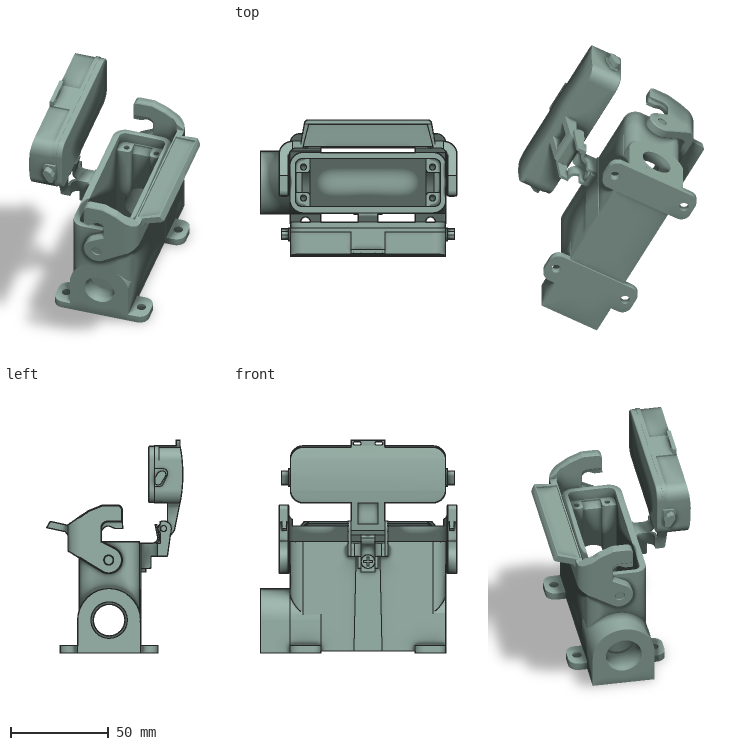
import cadquery as cq
import math

HOUSING_HALF_X = 39.8
HOUSING_TOP_Z = 57.0
HOUSING_BOTTOM_Z = 1.0
HOUSING_REAR_Y = 15.3
HOUSING_FRONT_TOP_Y = -15.4
HOUSING_FRONT_BOTTOM_Y = -15.9
HOUSING_CORNER_R = 6.5

CONDUIT_END_X = -55.0
CONDUIT_INNER_X = -24.0
CONDUIT_R = 16.1
CONDUIT_INNER_R = 16.0
CONDUIT_AXIS_Z = 16.8
CONDUIT_BORE_D = 18.6
WALL_BORE_D = 16.0

FOOT_WIDTH = HOUSING_HALF_X + CONDUIT_INNER_X
FOOT_CENTER_X = HOUSING_HALF_X - FOOT_WIDTH / 2
FOOT_HALF_Y = 25.0
FOOT_HEIGHT = 3.9
FOOT_CORNER_R = 5.0
FOOT_HOLE_D = 4.8
FOOT_HOLE_Y = 20.0

MOUTH_HALF_X = 37.1
CAVITY_HALF_Y = 12.2
MOUTH_CORNER_R = 3.3
PAD_Z = 51.1
CAVITY_HALF_X = 29.6
CAVITY_FLOOR_Z = 3.3
PAD_HOLE_X = 32.9
PAD_HOLE_Y = 7.9
PAD_HOLE_D = 3.0
PAD_HOLE_DEPTH = 6.5
END_SLOT_HALF_X = 36.6
END_SLOT_WIDTH = 10.0
END_SLOT_LEDGE_TOP_Z = 50.0
END_SLOT_LEDGE_LOW_Z = 47.3
END_WELL_HALF_X = 33.7
END_SLOT_CORNER_R = 2.0

STRIP_FRONT_Y = -16.3
STRIP_TOP_Z = 56.2
STRIP_BEND_Z = 49.3
STRIP_BOTTOM_HALF_X = 7.2
STRIP_TOP_HALF_X = 6.1

HINGE_Y = -27.8
HINGE_Z = 63.6
HINGE_PIN_D = 3.0
HINGE_ARM_R = 3.9
HINGE_ARM_INNER_X = 8.6
HINGE_ARM_OUTER_X = 10.1
HINGE_ARM_BACK_Y = -26.1
HINGE_ARM_FRONT_Y = -29.8
BRACKET_BOTTOM_Z = 49.3
BRACKET_CORNER_R = 0.9
WEB_THICKNESS = 1.3
CLIP_INNER_X = 3.5
CLIP_OUTER_X = 5.0
CLIP_FRONT_Y = -21.4
CLIP_BOTTOM_Z = 43.1
TONGUE_FRONT_Y = -18.7
TONGUE_BOTTOM_Z = 41.3
SCREW_D = 7.0
SCREW_Z = 46.7
SCREW_HEAD_HEIGHT = 0.9
SCREW_SLOT_WIDTH = 0.9
SCREW_SLOT_DEPTH = 0.4

LEVER_OUTER_X = 45.5
LEVER_INNER_X = 40.3
LEVER_REAR_Y = 21.1
LEVER_WALL_INNER_Y = 17.7
LEVER_OUTER_BEND_R = 7.1
LEVER_INNER_BEND_R = 4.0
LEVER_WALL_TOP_Z = 65.0
LEVER_WALL_HALF_X = 38.6
LEVER_EDGE_CHAMFER = 0.4
TRIM_X = 54.3
TRIM_LOW_Z = 32.6
TRIM_HIGH_Z = 86.9
PIVOT_Y = 0.2
PIVOT_Z = 47.5
PIVOT_HOLE_D = 5.1
PIVOT_PIN_D = 4.6
PIVOT_PIN_RECESS = 0.5
LEVER_EYE_R = 7.0
HOOK_INNER_X = 41.6
HOOK_WIDTH = 2.2
HANDLE_ROOT_HALF_X = 34.1
HANDLE_TIP_HALF_X = 32.2
HANDLE_ROOT_Y = 19.8
HANDLE_TIP_Y = 32.0
HANDLE_CORNER_R = 2.0
PANEL_FRONT_Y = 18.4
PANEL_FRONT_HALF_X = 33.1
PANEL_REAR_Y = 29.6
PANEL_REAR_HALF_X = 30.3
PANEL_FRONT_Z = 63.7
PANEL_REAR_Z = 66.2

COVER_HALF_X = 39.7
COVER_BOTTOM_Z = 76.6
COVER_TOP_Z = 105.9
COVER_CORNER_R = 6.5
COVER_BACK_Y = -20.2
COVER_RIM_Y = -23.3
COVER_STEP_Y = -25.3
COVER_RIM_INSET = 0.2
COVER_TOP_RECESS = 0.9
COVER_EDGE_Y = -36.2
COVER_FACE_Y = -37.7
RIM_EDGE_R = 0.7
COVER_OVERLAP = 1.1
STRAP_HALF_X = 8.6
STRAP_BACK_Y = -29.7
KNUCKLE_R = 2.9
WINDOW_WIDTH = 10.0
WINDOW_BOTTOM_Z = 65.9
WINDOW_FLOOR_Y = -32.4
TAB_TOP_Z = 108.7
TAB_BACK_Y = -34.1
TAB_FRONT_Y = COVER_EDGE_Y
TAB_SLOT_X = 5.5
TAB_SLOT_Z = 107.0
TAB_SLOT_LENGTH = 3.9
TAB_SLOT_HEIGHT = 1.6
PEG_END_X = 44.2
PEG_BOSS_X = 40.6


def box(x0, x1, y0, y1, z0, z1):
    """Axis-aligned box between two corners."""
    return cq.Workplane("XY").box(x1 - x0, y1 - y0, z1 - z0, centered=False).translate((x0, y0, z0))


def extrude_x(profile, x0, x1):
    """Extrude a closed Y-Z profile from x0 to x1."""
    return profile.extrude(x1 - x0).translate((x0, 0, 0))


def yz_polygon(points):
    return cq.Workplane("YZ").polyline(points).close()


def rod_x(y, z, diameter, x0, x1):
    """Round bar along X."""
    return extrude_x(cq.Workplane("YZ").center(y, z).circle(diameter / 2), x0, x1)


def mirror_x(shape):
    return shape.mirror("YZ")


def tangent_point(cy, cz, radius, y, z, side):
    """Point where a line from (y, z) touches a circle; side is +1 or -1."""
    distance = math.hypot(y - cy, z - cz)
    angle = math.atan2(z - cz, y - cy) + side * math.acos(radius / distance)
    return (cy + radius * math.cos(angle), cz + radius * math.sin(angle))


def arch_block(x0, x1, radius):
    """Block with flat sides and a half-round top, on the conduit axis."""
    profile = (
        cq.Workplane("YZ")
        .moveTo(-radius, 0)
        .lineTo(radius, 0)
        .lineTo(radius, CONDUIT_AXIS_Z)
        .threePointArc((0, CONDUIT_AXIS_Z + radius), (-radius, CONDUIT_AXIS_Z))
        .close()
    )
    return extrude_x(profile, x0, x1)


def leaning_block(half_x):
    """Block with an upright rear wall and a front wall that leans in towards the top."""
    profile = yz_polygon([
        (HOUSING_FRONT_BOTTOM_Y, HOUSING_BOTTOM_Z),
        (HOUSING_REAR_Y, HOUSING_BOTTOM_Z),
        (HOUSING_REAR_Y, HOUSING_TOP_Z),
        (HOUSING_FRONT_TOP_Y, HOUSING_TOP_Z),
    ])
    return extrude_x(profile, -half_x, half_x)


def housing_shell():
    """Box with rounded upright corners, squared off low down at the +X end."""
    rounded_box = box(
        -HOUSING_HALF_X,
        HOUSING_HALF_X,
        HOUSING_FRONT_TOP_Y,
        HOUSING_REAR_Y,
        HOUSING_BOTTOM_Z,
        HOUSING_TOP_Z,
    ).edges("|Z").fillet(HOUSING_CORNER_R)
    flat_walls = leaning_block(HOUSING_HALF_X - HOUSING_CORNER_R)
    end_arch = arch_block(HOUSING_HALF_X - HOUSING_CORNER_R, HOUSING_HALF_X, CONDUIT_R)
    square_end = end_arch.intersect(leaning_block(HOUSING_HALF_X))
    return rounded_box.union(flat_walls).union(square_end)


def foot(side):
    plate = (
        cq.Workplane("XY")
        .rect(FOOT_WIDTH, 2 * FOOT_HALF_Y)
        .extrude(FOOT_HEIGHT)
        .edges("|Z")
        .fillet(FOOT_CORNER_R)
        .faces(">Z")
        .workplane()
        .pushPoints([(0, FOOT_HOLE_Y), (0, -FOOT_HOLE_Y)])
        .hole(FOOT_HOLE_D)
    )
    return plate.translate((side * FOOT_CENTER_X, 0, 0))


def front_strip():
    """Raised strip on the front wall, wider towards the bottom."""
    points = [
        (-STRIP_BOTTOM_HALF_X, HOUSING_BOTTOM_Z),
        (STRIP_BOTTOM_HALF_X, HOUSING_BOTTOM_Z),
        (STRIP_TOP_HALF_X, STRIP_BEND_Z),
        (STRIP_TOP_HALF_X, STRIP_TOP_Z),
        (-STRIP_TOP_HALF_X, STRIP_TOP_Z),
        (-STRIP_TOP_HALF_X, STRIP_BEND_Z),
    ]
    depth = -STRIP_FRONT_Y - CAVITY_HALF_Y
    return cq.Workplane("XZ").polyline(points).close().extrude(depth).translate((0, -CAVITY_HALF_Y, 0))


def housing_cavity():
    """Open mouth, deep cavity and the end wells between the screw pads, down to the bore."""
    mouth = box(
        -MOUTH_HALF_X, MOUTH_HALF_X, -CAVITY_HALF_Y, CAVITY_HALF_Y, PAD_Z, HOUSING_TOP_Z
    ).edges("|Z").fillet(MOUTH_CORNER_R)
    cavity = box(
        -CAVITY_HALF_X, CAVITY_HALF_X, -CAVITY_HALF_Y, CAVITY_HALF_Y, CAVITY_FLOOR_Z, HOUSING_TOP_Z
    )
    end_slots = (
        cq.Workplane("XZ")
        .polyline([
            (-END_WELL_HALF_X, CONDUIT_AXIS_Z),
            (END_WELL_HALF_X, CONDUIT_AXIS_Z),
            (END_WELL_HALF_X, END_SLOT_LEDGE_LOW_Z),
            (END_SLOT_HALF_X, END_SLOT_LEDGE_TOP_Z),
            (END_SLOT_HALF_X, HOUSING_TOP_Z),
            (-END_SLOT_HALF_X, HOUSING_TOP_Z),
            (-END_SLOT_HALF_X, END_SLOT_LEDGE_TOP_Z),
            (-END_WELL_HALF_X, END_SLOT_LEDGE_LOW_Z),
        ])
        .close()
        .extrude(END_SLOT_WIDTH / 2, both=True)
    )
    near_slot_mouths = cq.selectors.BoxSelector(
        (-CAVITY_HALF_X - 1.1, -END_SLOT_WIDTH, CAVITY_FLOOR_Z),
        (CAVITY_HALF_X + 1.1, END_SLOT_WIDTH, HOUSING_TOP_Z),
    )
    deep_part = cavity.union(end_slots).edges("|Z").edges(near_slot_mouths).fillet(END_SLOT_CORNER_R)
    hollow = mouth.union(deep_part)
    pad_holes = (
        cq.Workplane("XY", origin=(0, 0, PAD_Z - PAD_HOLE_DEPTH))
        .rect(2 * PAD_HOLE_X, 2 * PAD_HOLE_Y, forConstruction=True)
        .vertices()
        .circle(PAD_HOLE_D / 2)
        .extrude(PAD_HOLE_DEPTH)
    )
    drill_points = (
        cq.Workplane("XY", origin=(0, 0, PAD_Z - PAD_HOLE_DEPTH))
        .rect(2 * PAD_HOLE_X, 2 * PAD_HOLE_Y, forConstruction=True)
        .vertices()
        .eachpoint(cq.Solid.makeCone(PAD_HOLE_D / 2, 0, PAD_HOLE_D / 2, dir=cq.Vector(0, 0, -1)), True)
    )
    return hollow.union(pad_holes).union(drill_points)


def hinge_arm():
    """Right-hand hinge arm with an eye for the cover pin."""
    foot_front = (HINGE_ARM_FRONT_Y, BRACKET_BOTTOM_Z)
    eye_front = tangent_point(HINGE_Y, HINGE_Z, HINGE_ARM_R, *foot_front, -1)
    eye_back_z = HINGE_Z + math.sqrt(HINGE_ARM_R**2 - (HINGE_ARM_BACK_Y - HINGE_Y) ** 2)
    profile = (
        cq.Workplane("YZ")
        .moveTo(HINGE_ARM_BACK_Y, BRACKET_BOTTOM_Z)
        .lineTo(*foot_front)
        .lineTo(*eye_front)
        .threePointArc((HINGE_Y, HINGE_Z + HINGE_ARM_R), (HINGE_ARM_BACK_Y, eye_back_z))
        .close()
    )
    arm = extrude_x(profile, HINGE_ARM_INNER_X, HINGE_ARM_OUTER_X)
    arm = arm.edges("|X").edges(cq.selectors.NearestToPointSelector((HINGE_ARM_OUTER_X, *foot_front)))
    arm = arm.fillet(BRACKET_CORNER_R)
    return arm.cut(rod_x(HINGE_Y, HINGE_Z, HINGE_PIN_D, HINGE_ARM_INNER_X, HINGE_ARM_OUTER_X))


def bracket_side():
    """Right-hand half of the bracket: clip wall, curved web and hinge arm."""
    clip_wall = box(CLIP_INNER_X, CLIP_OUTER_X, CLIP_FRONT_Y, STRIP_FRONT_Y, CLIP_BOTTOM_Z, STRIP_TOP_Z)
    clip_wall = clip_wall.edges("|X and <Y and <Z").fillet(BRACKET_CORNER_R)
    web_back_y = HINGE_ARM_BACK_Y + WEB_THICKNESS
    web = (
        cq.Workplane("XY", origin=(0, 0, BRACKET_BOTTOM_Z))
        .moveTo(CLIP_INNER_X, CLIP_FRONT_Y)
        .lineTo(CLIP_OUTER_X, CLIP_FRONT_Y)
        .threePointArc((6.1, -23.8), (HINGE_ARM_INNER_X, web_back_y))
        .lineTo(HINGE_ARM_OUTER_X, web_back_y)
        .lineTo(HINGE_ARM_OUTER_X, HINGE_ARM_BACK_Y)
        .lineTo(6.8, HINGE_ARM_BACK_Y)
        .threePointArc((4.7, -24.7), (CLIP_INNER_X, CLIP_FRONT_Y))
        .close()
        .extrude(STRIP_TOP_Z - BRACKET_BOTTOM_Z)
    )
    return clip_wall.union(web).union(hinge_arm())


def spring_tongue():
    """Screwed tongue that turns forward and ends in a leaf behind the hinge."""
    plate = box(-CLIP_INNER_X, CLIP_INNER_X, TONGUE_FRONT_Y, STRIP_FRONT_Y, TONGUE_BOTTOM_Z, STRIP_TOP_Z)
    leaf = (
        cq.Workplane("YZ")
        .moveTo(STRIP_FRONT_Y, 51.1)
        .lineTo(TONGUE_FRONT_Y, 51.1)
        .threePointArc((-19.8, 54.1), (-22.0, 55.2))
        .threePointArc((-24.6, 56.2), (-25.8, 58.7))
        .lineTo(-24.3, 65.6)
        .lineTo(-23.4, 65.6)
        .lineTo(-24.8, 58.7)
        .threePointArc((-23.9, 57.0), (-22.0, STRIP_TOP_Z))
        .lineTo(STRIP_FRONT_Y, STRIP_TOP_Z)
        .close()
    )
    screw_front_y = TONGUE_FRONT_Y - SCREW_HEAD_HEIGHT
    screw = (
        cq.Workplane("XZ", origin=(0, TONGUE_FRONT_Y, SCREW_Z)).circle(SCREW_D / 2).extrude(SCREW_HEAD_HEIGHT)
    )
    tongue = plate.union(extrude_x(leaf, -CLIP_INNER_X, CLIP_INNER_X)).union(screw)
    cross_half = SCREW_D / 3
    for half_x, half_z in ((cross_half, SCREW_SLOT_WIDTH / 2), (SCREW_SLOT_WIDTH / 2, cross_half)):
        slot = box(-half_x, half_x, screw_front_y, screw_front_y + SCREW_SLOT_DEPTH, -half_z, half_z)
        tongue = tongue.cut(slot.translate((0, 0, SCREW_Z)))
    return tongue


def make_housing():
    body = housing_shell().union(arch_block(CONDUIT_END_X, -HOUSING_HALF_X, CONDUIT_R))
    body = body.union(arch_block(-HOUSING_HALF_X, CONDUIT_INNER_X, CONDUIT_INNER_R))
    body = body.union(front_strip()).union(foot(-1)).union(foot(1))
    body = body.cut(housing_cavity())
    body = body.cut(rod_x(0, CONDUIT_AXIS_Z, WALL_BORE_D, CONDUIT_END_X, HOUSING_HALF_X))
    body = body.cut(rod_x(0, CONDUIT_AXIS_Z, CONDUIT_BORE_D, CONDUIT_END_X, -HOUSING_HALF_X))
    pivot_pin = rod_x(PIVOT_Y, PIVOT_Z, PIVOT_PIN_D, MOUTH_HALF_X, LEVER_OUTER_X - PIVOT_PIN_RECESS)
    side = bracket_side()
    for part in (pivot_pin, mirror_x(pivot_pin), spring_tongue(), side, mirror_x(side)):
        body = body.union(part)
    return body


def lever_side_profile():
    rear_low = (LEVER_REAR_Y, 52.2)
    throat_low = (3.8, 57.2)
    eye_rear = tangent_point(PIVOT_Y, PIVOT_Z, LEVER_EYE_R, *rear_low, -1)
    eye_diagonal = LEVER_EYE_R * math.sqrt(0.5)
    eye_front = tangent_point(PIVOT_Y, PIVOT_Z, LEVER_EYE_R, *throat_low, 1)
    return (
        cq.Workplane("YZ")
        .moveTo(*rear_low)
        .lineTo(LEVER_REAR_Y, 65.4)
        .lineTo(14.1, 70.3)
        .lineTo(10.3, 72.8)
        .lineTo(3.5, 75.6)
        .lineTo(-4.1, 75.6)
        .threePointArc((-6.0, 74.9), (-6.7, 72.8))
        .lineTo(-6.7, 67.0)
        .lineTo(0.9, 67.0)
        .threePointArc((2.9, 66.0), (3.8, 63.8))
        .lineTo(*throat_low)
        .lineTo(*eye_front)
        .threePointArc((PIVOT_Y - eye_diagonal, PIVOT_Z - eye_diagonal), eye_rear)
        .close()
    )


def lever_side_plate():
    """Right-hand side plate, chamfered on both faces, up to the start of the bend."""
    plate = extrude_x(lever_side_profile(), LEVER_INNER_X, LEVER_OUTER_X)
    plate = plate.faces("<X or >X").chamfer(LEVER_EDGE_CHAMFER)
    bend_start_y = LEVER_REAR_Y - LEVER_OUTER_BEND_R
    return plate.intersect(box(0, TRIM_X, -TRIM_X, bend_start_y, TRIM_LOW_Z, TRIM_HIGH_Z))


def lever_rear_wall():
    """Rear wall with its two rounded bends, lowered between the bends."""
    wall = extrude_x(lever_side_profile(), -LEVER_OUTER_X, LEVER_OUTER_X)
    wall = wall.faces("<X or >X").chamfer(LEVER_EDGE_CHAMFER)
    bend_start_y = LEVER_REAR_Y - LEVER_OUTER_BEND_R
    outer = box(-LEVER_OUTER_X, LEVER_OUTER_X, bend_start_y - 1.1, LEVER_REAR_Y, TRIM_LOW_Z, TRIM_HIGH_Z)
    outer = outer.edges("|Z and >Y").fillet(LEVER_OUTER_BEND_R)
    outer = outer.intersect(box(-TRIM_X, TRIM_X, bend_start_y, LEVER_REAR_Y, TRIM_LOW_Z, TRIM_HIGH_Z))
    inner = box(-LEVER_INNER_X, LEVER_INNER_X, 0, LEVER_WALL_INNER_Y, TRIM_LOW_Z, TRIM_HIGH_Z)
    inner = inner.edges("|Z and >Y").fillet(LEVER_INNER_BEND_R)
    above_wall = box(-LEVER_WALL_HALF_X, LEVER_WALL_HALF_X, 0, LEVER_REAR_Y, LEVER_WALL_TOP_Z, TRIM_HIGH_Z)
    return wall.intersect(outer.cut(inner)).cut(above_wall)


def lever_handle():
    """Tapered grip sloping up behind the rear wall."""
    slab = extrude_x(
        yz_polygon([
            (HANDLE_ROOT_Y, LEVER_WALL_TOP_Z),
            (30.0, 67.3),
            (HANDLE_TIP_Y, 64.0),
            (22.4, 62.0),
            (LEVER_REAR_Y, 60.2),
            (HANDLE_ROOT_Y, 60.2),
        ]),
        -HANDLE_ROOT_HALF_X,
        HANDLE_ROOT_HALF_X,
    )
    plan = (
        cq.Workplane("XY", origin=(0, 0, TRIM_LOW_Z))
        .polyline([
            (-HANDLE_ROOT_HALF_X, HANDLE_ROOT_Y),
            (HANDLE_ROOT_HALF_X, HANDLE_ROOT_Y),
            (HANDLE_ROOT_HALF_X, LEVER_REAR_Y),
            (HANDLE_TIP_HALF_X, HANDLE_TIP_Y),
            (-HANDLE_TIP_HALF_X, HANDLE_TIP_Y),
            (-HANDLE_ROOT_HALF_X, LEVER_REAR_Y),
        ])
        .close()
        .extrude(TRIM_HIGH_Z - TRIM_LOW_Z)
        .edges("|Z and >Y")
        .fillet(HANDLE_CORNER_R)
    )
    return slab.intersect(plan)


def handle_panel():
    """Sloping recess sunk into the top of the handle and the rear wall."""
    plan = (
        cq.Workplane("XY", origin=(0, 0, TRIM_LOW_Z))
        .polyline([
            (-PANEL_FRONT_HALF_X, PANEL_FRONT_Y),
            (PANEL_FRONT_HALF_X, PANEL_FRONT_Y),
            (PANEL_REAR_HALF_X, PANEL_REAR_Y),
            (-PANEL_REAR_HALF_X, PANEL_REAR_Y),
        ])
        .close()
        .extrude(TRIM_HIGH_Z - TRIM_LOW_Z)
    )
    above_floor = extrude_x(
        yz_polygon([
            (PANEL_FRONT_Y, PANEL_FRONT_Z),
            (PANEL_REAR_Y, PANEL_REAR_Z),
            (PANEL_REAR_Y, TRIM_HIGH_Z),
            (PANEL_FRONT_Y, TRIM_HIGH_Z),
        ]),
        -PANEL_FRONT_HALF_X,
        PANEL_FRONT_HALF_X,
    )
    return plan.intersect(above_floor)


def lever_hook():
    """Narrow hook lip under the right-hand jaw, shaped to grip the cover peg."""
    profile = (
        cq.Workplane("YZ")
        .moveTo(3.8, 67.3)
        .lineTo(3.8, 62.5)
        .threePointArc((2.4, 64.1), (0.2, 64.9))
        .lineTo(-2.9, 63.6)
        .lineTo(-7.1, 63.6)
        .lineTo(-6.7, 67.3)
        .close()
    )
    return extrude_x(profile, HOOK_INNER_X, HOOK_INNER_X + HOOK_WIDTH)


def make_lever():
    hook = lever_hook()
    plate = lever_side_plate()
    lever = lever_rear_wall().union(lever_handle()).cut(handle_panel())
    for part in (plate, mirror_x(plate), hook, mirror_x(hook)):
        lever = lever.union(part)
    return lever.cut(rod_x(PIVOT_Y, PIVOT_Z, PIVOT_HOLE_D, -LEVER_OUTER_X, LEVER_OUTER_X))


def rounded_slab(half_x, front_y, back_y, bottom_z, top_z):
    """Plate in the X-Z plane with rounded corners."""
    slab = box(-half_x, half_x, front_y, back_y, bottom_z, top_z)
    return slab.edges("|Y").fillet(COVER_CORNER_R)


def cover_shell():
    """Rim, body and centre rib, closed by a bulging front face."""
    rim = rounded_slab(
        COVER_HALF_X - COVER_RIM_INSET,
        COVER_RIM_Y,
        COVER_BACK_Y,
        COVER_BOTTOM_Z + COVER_RIM_INSET,
        COVER_TOP_Z - COVER_RIM_INSET,
    )
    rim = rim.faces(">Y").edges().fillet(RIM_EDGE_R)
    shoulder = rounded_slab(COVER_HALF_X, COVER_STEP_Y, COVER_RIM_Y, COVER_BOTTOM_Z, COVER_TOP_Z)
    body = rounded_slab(
        COVER_HALF_X, COVER_FACE_Y, COVER_STEP_Y, COVER_BOTTOM_Z, COVER_TOP_Z - COVER_TOP_RECESS
    )
    rib = box(
        -STRAP_HALF_X, STRAP_HALF_X, COVER_FACE_Y, COVER_STEP_Y, COVER_TOP_Z - COVER_CORNER_R, COVER_TOP_Z
    )
    bulge = extrude_x(
        cq.Workplane("YZ")
        .moveTo(COVER_BACK_Y, COVER_BOTTOM_Z)
        .lineTo(COVER_EDGE_Y, COVER_BOTTOM_Z)
        .threePointArc((COVER_FACE_Y, (COVER_BOTTOM_Z + COVER_TOP_Z) / 2), (COVER_EDGE_Y, COVER_TOP_Z))
        .lineTo(COVER_BACK_Y, COVER_TOP_Z)
        .close(),
        -COVER_HALF_X,
        COVER_HALF_X,
    )
    return rim.union(shoulder).union(body.union(rib).intersect(bulge))


def cover_strap():
    """Hanging strap that ends in the hinge knuckle, with a sunk window."""
    heel = (-31.6, 60.3)
    knuckle_low = tangent_point(HINGE_Y, HINGE_Z, KNUCKLE_R, *heel, 1)
    profile = (
        cq.Workplane("YZ")
        .moveTo(STRAP_BACK_Y, COVER_BOTTOM_Z + COVER_OVERLAP)
        .lineTo(COVER_EDGE_Y, COVER_BOTTOM_Z + COVER_OVERLAP)
        .lineTo(COVER_EDGE_Y, COVER_BOTTOM_Z)
        .lineTo(-33.4, 62.7)
        .lineTo(*heel)
        .lineTo(*knuckle_low)
        .threePointArc((HINGE_Y + KNUCKLE_R, HINGE_Z), (HINGE_Y, HINGE_Z + KNUCKLE_R))
        .lineTo(STRAP_BACK_Y, HINGE_Z + KNUCKLE_R)
        .close()
    )
    strap = extrude_x(profile, -STRAP_HALF_X, STRAP_HALF_X)
    window = box(
        -WINDOW_WIDTH / 2, WINDOW_WIDTH / 2, COVER_FACE_Y, WINDOW_FLOOR_Y, WINDOW_BOTTOM_Z, COVER_BOTTOM_Z
    )
    pin = rod_x(HINGE_Y, HINGE_Z, HINGE_PIN_D, -HINGE_ARM_OUTER_X, HINGE_ARM_OUTER_X)
    return strap.cut(window).union(pin)


def cover_tab():
    """Pull tab on the top edge with two slots."""
    tab = box(-STRAP_HALF_X, STRAP_HALF_X, TAB_FRONT_Y, TAB_BACK_Y, COVER_TOP_Z - COVER_OVERLAP, TAB_TOP_Z)
    slots = (
        cq.Workplane("XZ", origin=(0, TAB_BACK_Y, TAB_SLOT_Z))
        .pushPoints([(-TAB_SLOT_X, 0), (TAB_SLOT_X, 0)])
        .slot2D(TAB_SLOT_LENGTH, TAB_SLOT_HEIGHT)
        .extrude(TAB_BACK_Y - TAB_FRONT_Y)
    )
    return tab.cut(slots)


def cover_peg():
    """Right-hand locking peg on its low boss."""
    boss = (
        cq.Workplane("YZ")
        .moveTo(COVER_RIM_Y, 94.1)
        .lineTo(-27.2, 94.1)
        .threePointArc((-29.3, 93.2), (-29.8, 91.1))
        .lineTo(-27.6, 86.5)
        .threePointArc((-26.7, 85.4), (-25.4, 85.1))
        .lineTo(COVER_RIM_Y, 85.1)
        .close()
    )
    peg = (
        cq.Workplane("YZ")
        .moveTo(-26.7, 93.0)
        .threePointArc((-28.7, 92.2), (-28.8, 90.4))
        .lineTo(-26.7, 86.8)
        .threePointArc((-25.2, 85.9), (-23.5, 86.5))
        .lineTo(-23.5, 89.5)
        .lineTo(-24.9, 92.0)
        .close()
    )
    root_x = COVER_HALF_X - COVER_OVERLAP
    return extrude_x(boss, root_x, PEG_BOSS_X).union(extrude_x(peg, root_x, PEG_END_X))


def make_cover():
    peg = cover_peg()
    cover = cover_shell()
    for part in (cover_strap(), cover_tab(), peg, mirror_x(peg)):
        cover = cover.union(part)
    return cover


housing = make_housing()
lever = make_lever()
cover = make_cover()

result = cq.Compound.makeCompound([housing.solids().val(), lever.solids().val(), cover.solids().val()])